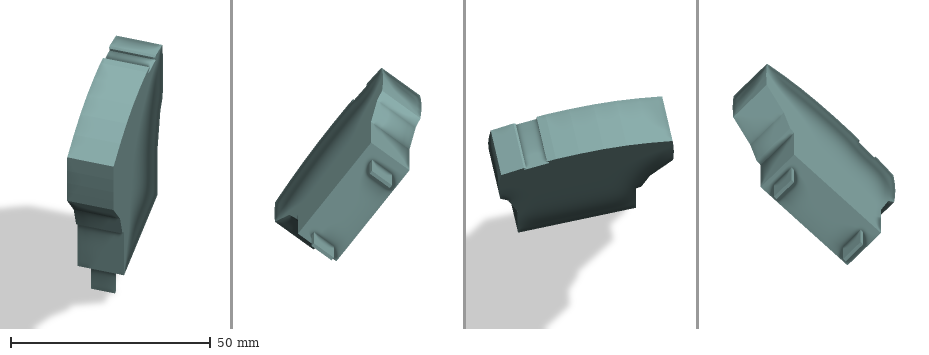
import cadquery as cq

width = 12.1
base_front = -12.75
base_back = 17.5

pin_width = 6.3
pin_thickness = 0.9
pin_length = 8.8
pin_positions = (-10.45, 13.6)

front_flank = [
    (base_front, 15.3),
    (-14.15, 15.85),
    (-16.35, 23.0),
    (-22.3, 31.6),
]
front_facets = [
    (-22.45, 34.7),
    (-22.5, 38.0),
    (-22.45, 42.2),
    (-22.2, 46.65),
]
crown_facets = [
    (-16.2, 49.0),
    (-10.4, 50.7),
    (-4.5, 51.7),
    (1.7, 52.0),
    (7.8, 51.75),
    (10.1, 51.3),
]
label_notch = [
    (10.1, 50.8),
    (9.5, 50.5),
    (9.5, 49.8),
    (15.85, 48.5),
    (16.05, 49.55),
    (15.45, 49.7),
    (16.0, 50.05),
]
back_top = (21.8, 48.2)
back_bulge = (22.5, 37.1)
back_bottom = (22.1, 29.8)
back_flank = [
    (20.05, 27.05),
    (base_back, 16.2),
    (base_back, 0),
]


def housing():
    """Flat housing: the side profile extruded across its full width."""
    outline = cq.Workplane("YZ").moveTo(base_front, 0)
    for stretch in (front_flank, front_facets, crown_facets, label_notch):
        for point in stretch:
            outline = outline.lineTo(*point)
    outline = outline.lineTo(*back_top).threePointArc(back_bulge, back_bottom)
    for point in back_flank:
        outline = outline.lineTo(*point)
    return outline.close().extrude(width / 2, both=True)


def contact_pin(y):
    """Flat blade hanging from the underside of the housing."""
    blade = cq.Workplane("XY").center(0, y).rect(pin_width, pin_thickness)
    return blade.extrude(-pin_length)


result = housing()
for pin_y in pin_positions:
    result = result.union(contact_pin(pin_y))